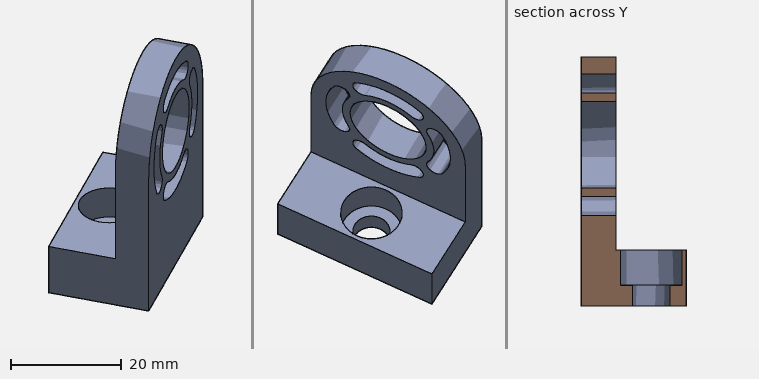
import cadquery as cq
import math

length = 19.05
width = 31.75
height = 45.09

foot_height = 10.16
plate_thickness = 6.35
plate_radius = width / 2
plate_front = length - plate_thickness
bore_height = height - plate_radius

bore_diameter = 15.62
slot_count = 4
slot_pitch_radius = 11.11
slot_width = 3.4
slot_half_angle = 30

hole_diameter = 6.76
counterbore_diameter = 11.12
counterbore_depth = 6.35
hole_x = plate_front / 2


def make_foot():
    return cq.Workplane("XY").box(length, width, foot_height, centered=(False, True, False))


def plate_plane():
    """Plane on the plate's front face, centred on the bore, with local x along Y."""
    return cq.Workplane("YZ", origin=(plate_front, 0, bore_height))


def make_plate():
    """Upright plate with a full-round top."""
    return (
        plate_plane()
        .moveTo(-plate_radius, -bore_height)
        .lineTo(plate_radius, -bore_height)
        .lineTo(plate_radius, 0)
        .threePointArc((0, plate_radius), (-plate_radius, 0))
        .close()
        .extrude(plate_thickness)
    )


def polar_point(radius, angle):
    """Point at an angle in degrees, measured about the bore centre."""
    return (radius * math.cos(math.radians(angle)), radius * math.sin(math.radians(angle)))


def make_arc_slot(middle_angle):
    """Round-ended slot that follows the pitch circle, through the plate."""
    inner_radius = slot_pitch_radius - slot_width / 2
    outer_radius = slot_pitch_radius + slot_width / 2
    start_angle = middle_angle - slot_half_angle
    end_angle = middle_angle + slot_half_angle
    tip_angle = 2 * math.degrees(math.asin(slot_width / 2 / (2 * slot_pitch_radius)))
    return (
        plate_plane()
        .moveTo(*polar_point(outer_radius, start_angle))
        .threePointArc(polar_point(outer_radius, middle_angle), polar_point(outer_radius, end_angle))
        .threePointArc(
            polar_point(slot_pitch_radius, end_angle + tip_angle),
            polar_point(inner_radius, end_angle),
        )
        .threePointArc(polar_point(inner_radius, middle_angle), polar_point(inner_radius, start_angle))
        .threePointArc(
            polar_point(slot_pitch_radius, start_angle - tip_angle),
            polar_point(outer_radius, start_angle),
        )
        .close()
        .extrude(plate_thickness)
    )


def make_bore():
    return plate_plane().circle(bore_diameter / 2).extrude(plate_thickness)


def make_mounting_hole():
    """Through hole with a counterbore sunk from the top of the foot."""
    hole = cq.Workplane("XY", origin=(hole_x, 0, 0)).circle(hole_diameter / 2).extrude(foot_height)
    counterbore = (
        cq.Workplane("XY", origin=(hole_x, 0, foot_height))
        .circle(counterbore_diameter / 2)
        .extrude(-counterbore_depth)
    )
    return hole.union(counterbore)


result = make_foot().union(make_plate())
result = result.cut(make_bore())
for slot_index in range(slot_count):
    result = result.cut(make_arc_slot(slot_index * 360 / slot_count))
result = result.cut(make_mounting_hole())